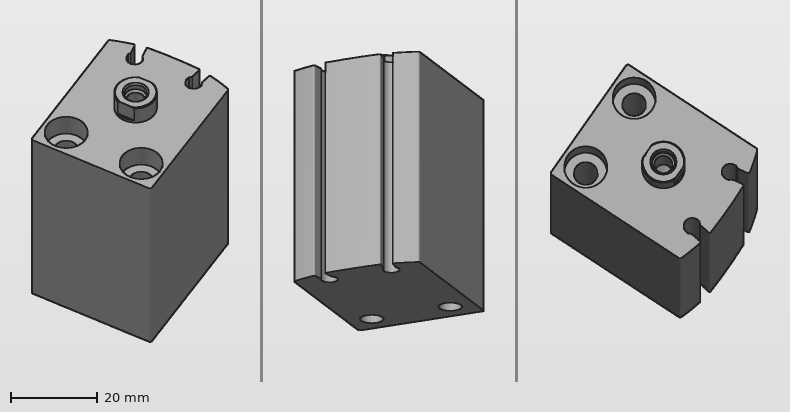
import cadquery as cq
import math

width = 32.0
front_y = -21.0
back_y = 18.0
back_corner_y = 15.55
crown_half_width = 7.4
crown_end_y = 17.8
shoulder_radius = 50.0
housing_height = 52.0
corner_radius = 0.5

mount_spacing = 20.0
mount_y = -15.0
mount_diameter = 5.5
counterbore_diameter = 10.0
counterbore_depth = 5.7

slot_x = 7.85
slot_y = 13.4
slot_radius = 1.95
slot_neck_width = 2.9
slot_shoulder_height = 0.6
slot_tilt = 9.0
slot_reach = 8.55
slot_mouth_radius = 0.3

rod_diameter = 10.0
overall_height = 57.0
rod_insertion = 15.0
rod_chamfer = 0.2
flats_distance = 9.0
flats_start = 0.8

entry_diameter = 5.3
entry_chamfer = 0.4
entry_depth = 1.75
core_diameter = 4.15
core_depth = 10.0
drill_point_angle = 118.0


def make_slot_cutter(side):
    """Slot on the left (side = -1) or right (side = 1), leaning outwards towards its mouth."""
    bottom = cq.Workplane("XY").circle(slot_radius).extrude(housing_height)
    channel = (
        cq.Workplane("XY")
        .rect(2 * slot_radius, slot_shoulder_height)
        .extrude(housing_height)
        .translate((0, slot_shoulder_height / 2, 0))
    )
    neck = (
        cq.Workplane("XY")
        .rect(slot_neck_width, slot_reach)
        .extrude(housing_height)
        .translate((0, slot_reach / 2, 0))
    )
    cutter = bottom.union(channel).union(neck)
    cutter = cutter.rotate((0, 0, 0), (0, 0, 1), -side * slot_tilt)
    return cutter.translate((side * slot_x, slot_y, 0))


def make_housing():
    block = (
        cq.Workplane("XY")
        .moveTo(-width / 2, front_y)
        .lineTo(width / 2, front_y)
        .lineTo(width / 2, back_corner_y)
        .radiusArc((crown_half_width, crown_end_y), -shoulder_radius)
        .threePointArc((0, back_y), (-crown_half_width, crown_end_y))
        .radiusArc((-width / 2, back_corner_y), -shoulder_radius)
        .close()
        .extrude(housing_height)
    )
    block = block.faces("<Y or <X or >X").edges("|Z").fillet(corner_radius)

    block = (
        block.faces(">Z")
        .workplane(origin=(0, 0, housing_height))
        .pushPoints([(side * mount_spacing / 2, mount_y) for side in (-1, 1)])
        .cboreHole(mount_diameter, counterbore_diameter, counterbore_depth)
    )

    for side in (-1, 1):
        block = block.cut(make_slot_cutter(side))

    mouth_zone = cq.selectors.BoxSelector(
        (-width / 2 + 2 * corner_radius, back_corner_y + corner_radius, 0),
        (width / 2 - 2 * corner_radius, back_y, housing_height),
    )
    block = block.edges("|Z").edges(mouth_zone).fillet(slot_mouth_radius)

    rod_bore = (
        cq.Workplane("XY")
        .workplane(offset=housing_height - rod_insertion)
        .circle(rod_diameter / 2)
        .extrude(rod_insertion)
    )
    return block.cut(rod_bore)


def make_rod_hole_cutter():
    """Revolved profile: entry chamfer, wide entry, 45 degree step, core and drill point."""
    entry_radius = entry_diameter / 2
    core_radius = core_diameter / 2
    step_end = entry_depth + entry_radius - core_radius
    point_length = core_radius / math.tan(math.radians(drill_point_angle / 2))
    return (
        cq.Workplane("XZ")
        .moveTo(0, overall_height)
        .lineTo(entry_radius + entry_chamfer, overall_height)
        .lineTo(entry_radius, overall_height - entry_chamfer)
        .lineTo(entry_radius, overall_height - entry_depth)
        .lineTo(core_radius, overall_height - step_end)
        .lineTo(core_radius, overall_height - core_depth)
        .lineTo(0, overall_height - core_depth - point_length)
        .close()
        .revolve(360, (0, 0, 0), (0, 1, 0))
    )


def make_rod():
    rod_bottom = housing_height - rod_insertion
    rod = (
        cq.Workplane("XY")
        .workplane(offset=rod_bottom)
        .circle(rod_diameter / 2)
        .extrude(overall_height - rod_bottom)
        .faces(">Z")
        .edges()
        .chamfer(rod_chamfer)
    )

    flat_bottom = housing_height + flats_start
    flat_depth = (rod_diameter - flats_distance) / 2
    for side in (-1, 1):
        flat_cutter = (
            cq.Workplane("XY")
            .workplane(offset=flat_bottom)
            .center(0, side * (flats_distance + flat_depth) / 2)
            .rect(rod_diameter, flat_depth)
            .extrude(overall_height - flat_bottom)
        )
        rod = rod.cut(flat_cutter)

    return rod.cut(make_rod_hole_cutter())


housing = make_housing()
rod = make_rod()
result = cq.Compound.makeCompound([housing.val(), rod.val()])